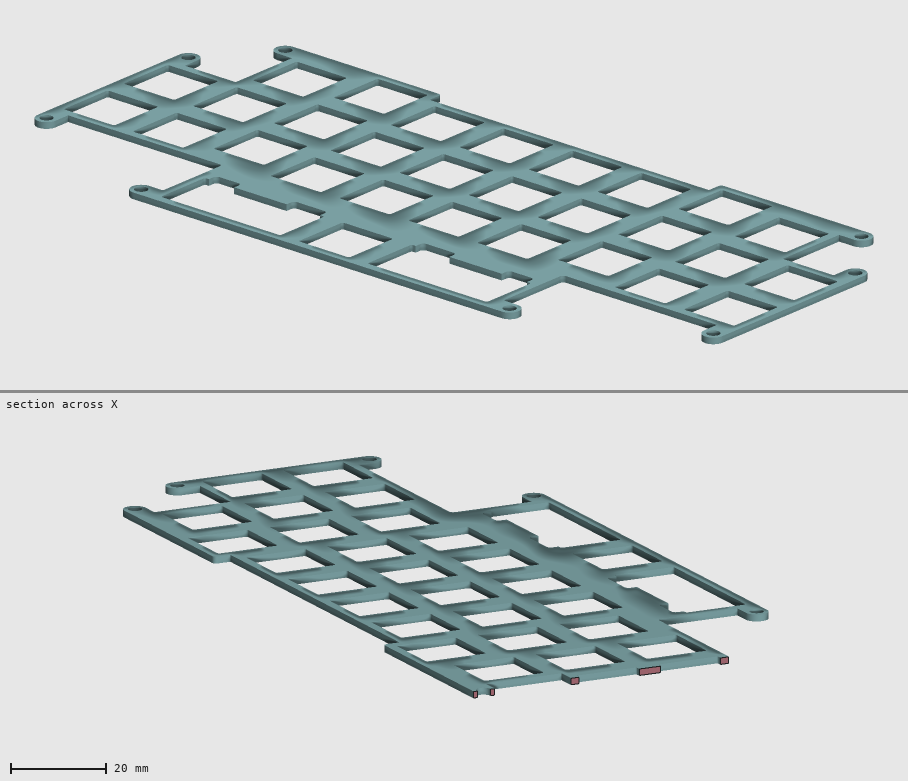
import cadquery as cq

thickness = 1.5
pitch = 19.05
key_size = 14.0
key_corner = 0.5
rim = 2.0
stagger = 0.2 * pitch
thumb_drop = 2.25 * pitch

inner_columns = (0.5, 1.5)
raised_column = 2.5
second_column = 3.5
end_column = 4.5

tab_radius = 2.5
screw_diameter = 3.0
upper_screw_x = 79.68
end_screw_top_y = 13.0
end_screw_bottom_y = -32.05
thumb_screw_x = 50.95

notch_height = 2.35
notch_corner = 1.0
inner_notch = (13.2, 22.5)
outer_notch = (37.0, 44.0)

step_corner = 0.9

key_half = key_size / 2
margin = key_half + rim
end_x = end_column * pitch + margin
second_x = second_column * pitch + margin
recess_x = raised_column * pitch - margin
top_y = pitch + stagger + margin
recess_y = pitch + margin
shoulder_y = margin
lower_y = -pitch - margin
thumb_inner_x = pitch - key_half
thumb_outer_x = 2 * pitch + key_half
thumb_x = thumb_outer_x + rim
bottom_y = -thumb_drop - margin

upper_screw_y = top_y - tab_radius
end_screw_x = end_x - tab_radius
thumb_screw_y = bottom_y + tab_radius
screw_points = [
    (side * x, y)
    for side in (-1, 1)
    for x, y in (
        (upper_screw_x, upper_screw_y),
        (end_screw_x, end_screw_top_y),
        (end_screw_x, end_screw_bottom_y),
        (thumb_screw_x, thumb_screw_y),
    )
]


def block(x_min, x_max, y_min, y_max):
    """Full-thickness rectangular block between the given limits."""
    return (
        cq.Workplane("XY")
        .center((x_min + x_max) / 2, (y_min + y_max) / 2)
        .rect(x_max - x_min, y_max - y_min)
        .extrude(thickness)
    )


def half_outline():
    """Right half of the plate with its four rounded screw tabs."""
    tab = tab_radius
    half = (
        cq.Workplane("XY")
        .moveTo(0, recess_y)
        .lineTo(recess_x, recess_y)
        .lineTo(recess_x, top_y)
        .lineTo(upper_screw_x, top_y)
        .threePointArc((upper_screw_x + tab, upper_screw_y), (upper_screw_x, upper_screw_y - tab))
        .lineTo(second_x, upper_screw_y - tab)
        .lineTo(second_x, shoulder_y)
        .lineTo(end_screw_x - tab, shoulder_y)
        .lineTo(end_screw_x - tab, end_screw_top_y)
        .threePointArc((end_screw_x, end_screw_top_y + tab), (end_x, end_screw_top_y))
        .lineTo(end_x, end_screw_bottom_y)
        .threePointArc((end_screw_x, end_screw_bottom_y - tab), (end_screw_x - tab, end_screw_bottom_y))
        .lineTo(end_screw_x - tab, lower_y)
        .lineTo(thumb_x, lower_y)
        .lineTo(thumb_x, thumb_screw_y + tab)
        .lineTo(thumb_screw_x, thumb_screw_y + tab)
        .threePointArc((thumb_screw_x + tab, thumb_screw_y), (thumb_screw_x, bottom_y))
        .lineTo(0, bottom_y)
        .close()
        .extrude(thickness)
    )
    for corner_x, corner_y in ((recess_x, top_y), (thumb_x, lower_y)):
        corner_edge = cq.selectors.NearestToPointSelector((corner_x, corner_y, thickness / 2))
        half = half.edges("|Z").edges(corner_edge).fillet(step_corner)
    return half


def key_centres():
    """Centres of all single-key openings."""
    centres = [(0, -thumb_drop)]
    for side in (-1, 1):
        for row in (-1, 0, 1):
            for column in inner_columns + (second_column,):
                centres.append((side * column * pitch, row * pitch))
            centres.append((side * raised_column * pitch, row * pitch + stagger))
        for row in (-1, 0):
            centres.append((side * end_column * pitch, row * pitch))
    return centres


def thumb_opening():
    """Right-hand wide thumb opening with two notches along its upper edge."""
    opening_top = -thumb_drop + key_half
    opening = block(thumb_inner_x, thumb_outer_x, -thumb_drop - key_half, opening_top)
    opening = opening.edges("|Z").fillet(key_corner)
    for x_min, x_max in (inner_notch, outer_notch):
        notch = block(x_min, x_max, -thumb_drop, opening_top + notch_height)
        opening = opening.union(notch.edges("|Z and >Y").fillet(notch_corner))
    return opening


right_half = half_outline().cut(thumb_opening())
plate = right_half.union(right_half.mirror("YZ")).clean()

keys = cq.Workplane("XY").pushPoints(key_centres()).rect(key_size, key_size).extrude(thickness)
plate = plate.cut(keys.edges("|Z").fillet(key_corner))

screws = cq.Workplane("XY").pushPoints(screw_points).circle(screw_diameter / 2).extrude(thickness)
result = plate.cut(screws)